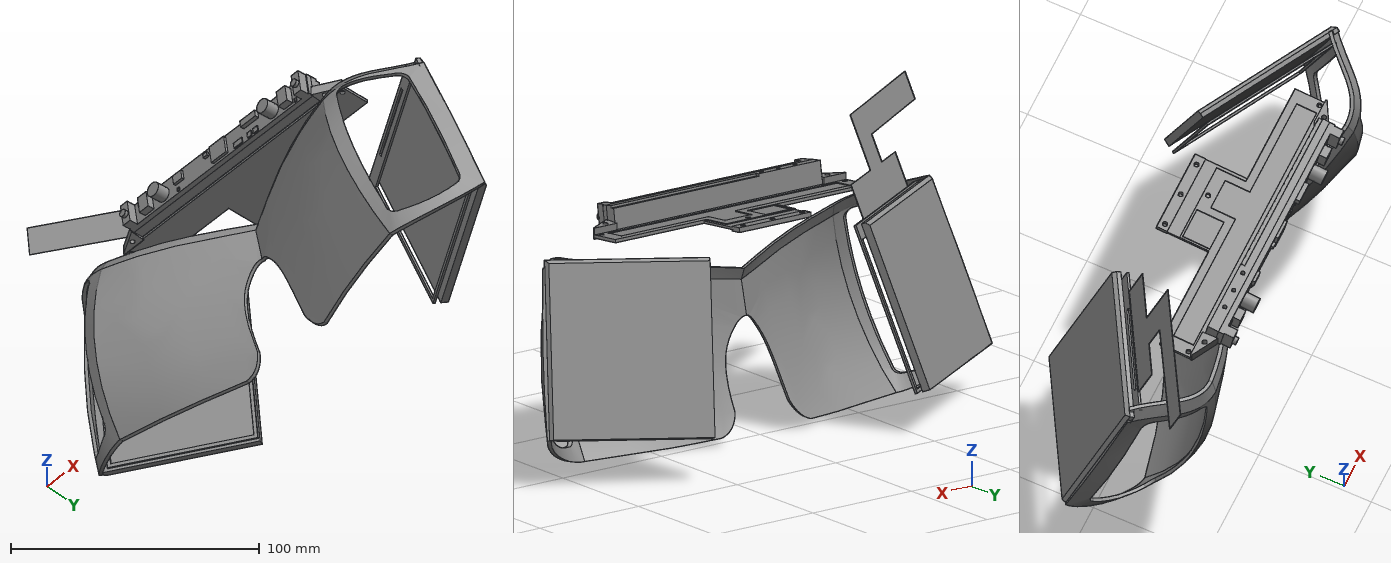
import cadquery as cq
import math

Vector = cq.Vector

WALL = 1.6
BROW_DROP = 4.3
BROW_STEP = 3.3

LENS_STATIONS = [
    ((0.0, -12.0, 5.5), (0.0, 6.2, -57.0), -90.0, 2.0),
    ((-17.0, -21.2, 7.2), (-20.0, 3.4, -58.0), -90.0, 4.0),
    ((-35.0, -28.8, 9.8), (-38.0, -3.6, -60.3), -90.0, 5.5),
    ((-51.0, -33.6, 12.2), (-59.0, -10.0, -61.4), -90.0, 7.0),
    ((-64.0, -36.0, 14.6), (-79.0, -14.5, -61.8), -90.0, 8.5),
]
SIDE_STATIONS = [
    LENS_STATIONS[-1],
    ((-72.0, -34.9, 17.0), (-86.0, -12.5, -60.5), -115.0, 7.5),
    ((-84.0, -25.5, 21.8), (-102.5, -3.0, -52.5), -140.0, 4.5),
    ((-95.3, -14.0, 26.2), (-112.67, 6.3, -42.4), -150.0, 0.8),
]

ARCH_TOP = -13.9
ARCH_FLANK = [(-6.0, -19.0), (-11.3, -30.0), (-13.8, -49.5)]
ARCH_FOOT_MIDDLE = (-17.2, -55.0)
ARCH_FOOT = (-23.5, -58.6)
BELOW_VISOR = -75.0
CUT_REACH = 100.0

TEMPLE_ANGLE = 120.0
WINDOW_TOP_BACK = (30.0, 17.0)
WINDOW_TOP_FRONT = (3.5, 11.0)
WINDOW_FRONT_BOW = (10.0, -25.0)
WINDOW_BOTTOM_FRONT = (26.0, -55.5)
WINDOW_BOTTOM_BOW = (39.8, -51.8)
WINDOW_BOTTOM_BACK = (52.5, -42.0)
WINDOW_CORNER = 4.5
WINDOW_CUT_START = 65.0

DISPLAY_CORNER = Vector(-98.3, -14.0, 26.2)
DISPLAY_ACROSS = Vector(0.867, 0.498, -0.022)
DISPLAY_BACK = Vector(-0.458, 0.8135, 0.358)
DISPLAY_PLANE = cq.Plane(origin=DISPLAY_CORNER, xDir=DISPLAY_ACROSS, normal=DISPLAY_BACK)
DISPLAY_WIDTH = 67.0
DISPLAY_HEIGHT = 72.8
BACK_THICKNESS = 3.4
BACK_CHAMFER = 1.5
FRAME_GAP = 2.5
FRONT_THICKNESS = 1.0
FRAME_FRONT = -(BACK_THICKNESS + FRAME_GAP + FRONT_THICKNESS)
FRONT_SETBACK = 3.8
TOP_LIP = 6.5
SIDE_LIP = 1.5
BOTTOM_LIP = 1.5
SLOT_LENGTH = 37.0
SLOT_HEIGHT = 1.6
SLOT_START = 14.5
SLOT_DROP = 2.6

RIBBON_THICKNESS = 0.3
RIBBON_LEFT = 12.0
RIBBON_RIGHT = 58.4
RIBBON_SHOULDER = 15.0
NECK_LEFT = 26.0
NECK_RIGHT = 38.0
HOOK_UNDERSIDE = 27.0
HOOK_TOP = 39.0
HOOK_RISE = 1.0
HOOK_TIP = -20.2

BRACKET_TILT = 5.5
BRACKET_FRONT = (0.0, -26.8, 27.4)
BRACKET_THICKNESS = 1.4
BAR_HALF_WIDTH = 63.8
BAR_DEPTH = 14.4
STEM_LEFT = -17.5
STEM_RIGHT = 18.9
BRACKET_DEPTH = 37.8
RAIL_DEPTH = 4.8
RAIL_THICKNESS = 2.0
STEP_DEPTH = 5.6
FLANGE_WIDTH = 1.5
RECESS_DEPTH = 0.4
RECESS_HALF_WIDTH = 58.1
RECESS_FRONT = 2.0
RECESS_BACK = 10.9
RECESS_STEM = (0.3, 13.9)
RECESS_STEM_BACK = 21.9
PAD_POCKET = (-16.5, -3.1)
PAD_POCKET_BACK = 26.5
HOLE_DIAMETER = 2.0
RAIL_HOLE_PITCH = 14.9
RAIL_HOLE_SETBACK = 2.6
STEM_HOLE = (4.7, 25.2)
BAR_HOLE = (61.7, 2.5)
GUSSET_TOP = 30.3
GUSSET_BOTTOM = 25.6
GUSSET_FRONT = -33.0
GUSSET_BACK = -26.2
GUSSET_HOLE = (56.3, -28.9)

CAMERA_TILT = 9.0
CAMERA_REAR_TOP = (0.0, -28.5, 37.0)
CAMERA_HALF_WIDTH = 52.5
CAMERA_HEIGHT = 10.2
STIFFENER_DEPTH = 4.8
BOARD_DEPTH = 2.4
NOTCH_START = -21.2
NOTCH_DEPTH = 1.7
NOTCH_DROP = 1.0
TAPPED_HOLE = 1.62
TAPPED_HOLES_X = (-41.4, -33.0, -24.4)
TAPPED_HOLE_DEPTH = 3.0
LENS_DIAMETER = 6.44
LENS_X = 32.0
LENS_DROP = 5.7
LENS_REACH = 6.0
POST_PAD_X = 50.0
POST_PAD_WIDTH = 4.0
POST_PAD_REACH = 4.2
POST_DIAMETER = 3.23
POST_REACH = 5.8
CHIPS = [
    (-43.2, -38.1, 1.3, 8.9, 3.3),
    (38.1, 43.2, 1.3, 8.9, 3.3),
    (-24.9, -20.0, 1.3, 5.6, 1.2),
    (-3.3, 5.2, 0.8, 9.0, 1.2),
    (15.4, 24.1, 0.4, 3.5, 1.9),
    (9.1, 13.9, 7.1, 9.6, 0.5),
    (17.0, 19.3, 7.1, 9.6, 0.5),
    (20.4, 23.0, 7.1, 9.6, 0.5),
    (-7.3, -5.0, 2.0, 3.8, 1.2),
    (-45.8, -44.6, 1.0, 2.4, 0.5),
    (25.2, 26.4, 1.0, 2.4, 0.5),
    (-24.1, -22.9, 8.0, 9.4, 0.5),
    (44.4, 45.6, 8.0, 9.4, 0.5),
]


def mirrored(body):
    """Copy of a body on the other side of the YZ plane."""
    return body.mirror("YZ")


def station_wire(top, bottom, compass, bulge):
    """Closed wall profile: sloping brow band, then one arc down to the bottom edge."""
    top = Vector(*top)
    bottom = Vector(*bottom)
    heading = Vector(math.cos(math.radians(compass)), math.sin(math.radians(compass)), 0)
    up = (top - bottom).normalized()
    out = (heading - up * heading.dot(up)).normalized()
    crown = top - up * BROW_DROP + out * BROW_STEP
    belly = (crown + bottom) * 0.5 + out * bulge
    inward = heading * -WALL
    edges = [
        cq.Edge.makeLine(top, crown),
        cq.Edge.makeThreePointArc(crown, belly, bottom),
        cq.Edge.makeLine(bottom, bottom + inward),
        cq.Edge.makeThreePointArc(bottom + inward, belly + inward, crown + inward),
        cq.Edge.makeLine(crown + inward, top + inward),
        cq.Edge.makeLine(top + inward, top),
    ]
    return cq.Wire.assembleEdges(edges)


def shell_through(stations):
    wires = [station_wire(*station) for station in stations]
    return cq.Workplane(obj=cq.Solid.makeLoft(wires))


def nose_arch():
    mirrored_flank = [(-x, z) for x, z in ARCH_FLANK]
    outline = (
        cq.Workplane("XZ", origin=(0, CUT_REACH / 2, 0))
        .moveTo(*ARCH_FOOT)
        .threePointArc(ARCH_FOOT_MIDDLE, ARCH_FLANK[-1])
        .spline(ARCH_FLANK[-2::-1] + [(0, ARCH_TOP)] + mirrored_flank, includeCurrent=True)
        .threePointArc((-ARCH_FOOT_MIDDLE[0], ARCH_FOOT_MIDDLE[1]), (-ARCH_FOOT[0], ARCH_FOOT[1]))
        .lineTo(-ARCH_FOOT[0], BELOW_VISOR)
        .lineTo(ARCH_FOOT[0], BELOW_VISOR)
        .close()
    )
    return outline.extrude(CUT_REACH)


def side_window():
    angle = math.radians(TEMPLE_ANGLE)
    back = Vector(math.cos(angle), math.sin(angle), 0)
    outward = back.cross(Vector(0, 0, 1)) * -1
    plane = cq.Plane(origin=outward * WINDOW_CUT_START, xDir=back * -1, normal=outward)

    def at(point):
        return (-point[0], point[1])

    return (
        cq.Workplane(plane)
        .moveTo(*at(WINDOW_TOP_BACK))
        .lineTo(*at(WINDOW_TOP_FRONT))
        .threePointArc(at(WINDOW_FRONT_BOW), at(WINDOW_BOTTOM_FRONT))
        .threePointArc(at(WINDOW_BOTTOM_BOW), at(WINDOW_BOTTOM_BACK))
        .close()
        .extrude(CUT_REACH)
        .edges(cq.selectors.ParallelDirSelector(outward))
        .fillet(WINDOW_CORNER)
    )


def display_envelope():
    """Space taken by one display, cleared out of the visor."""
    back = local_box(0, DISPLAY_WIDTH, 0, DISPLAY_HEIGHT, -BACK_THICKNESS, 0)
    front = local_box(FRONT_SETBACK, DISPLAY_WIDTH, 0, DISPLAY_HEIGHT, FRAME_FRONT, 0)
    return back.union(front)


def build_visor():
    side = shell_through(SIDE_STATIONS).cut(side_window()).cut(display_envelope())
    half = shell_through(LENS_STATIONS).union(side)
    return half.union(mirrored(half)).cut(nose_arch())



def local_box(left, right, top_drop, bottom_drop, front, back):
    """Box in the display's own axes: across, down from the top edge, and backward."""
    return (
        cq.Workplane(DISPLAY_PLANE)
        .workplane(offset=front)
        .center((left + right) / 2, (top_drop + bottom_drop) / 2)
        .rect(right - left, bottom_drop - top_drop)
        .extrude(back - front)
    )


def build_display_back():
    """Flat back cover, chamfered along its top and outer edges."""
    plate = local_box(0, DISPLAY_WIDTH, 0, DISPLAY_HEIGHT, -BACK_THICKNESS, 0)
    back_face = plate.faces(cq.selectors.DirectionMinMaxSelector(DISPLAY_PLANE.zDir))
    top_edge = back_face.edges(cq.selectors.DirectionMinMaxSelector(DISPLAY_PLANE.yDir, False))
    outer_edge = back_face.edges(cq.selectors.DirectionMinMaxSelector(DISPLAY_PLANE.xDir, False))
    return top_edge.add(outer_edge).chamfer(BACK_CHAMFER)


def build_display_frame():
    """Thin open frame standing clear of the back cover, with a cable slot in its top lip."""
    flange_back = FRAME_FRONT + FRONT_THICKNESS
    flange = local_box(FRONT_SETBACK, DISPLAY_WIDTH, 0, DISPLAY_HEIGHT, FRAME_FRONT, flange_back)
    opening = local_box(
        FRONT_SETBACK + SIDE_LIP, DISPLAY_WIDTH - SIDE_LIP,
        TOP_LIP, DISPLAY_HEIGHT - BOTTOM_LIP, FRAME_FRONT, flange_back,
    )
    slot = local_box(
        SLOT_START, SLOT_START + SLOT_LENGTH,
        SLOT_DROP - SLOT_HEIGHT / 2, SLOT_DROP + SLOT_HEIGHT / 2, FRAME_FRONT, flange_back,
    )
    return flange.cut(opening).cut(slot)


def build_ribbon():
    """Thin hooked cable standing on the top edge of the left display frame."""
    return (
        cq.Workplane(DISPLAY_PLANE)
        .workplane(offset=FRAME_FRONT + FRONT_THICKNESS / 2)
        .polyline([
            (RIBBON_LEFT, 0),
            (RIBBON_LEFT, -RIBBON_SHOULDER),
            (NECK_LEFT, -RIBBON_SHOULDER),
            (NECK_LEFT, -HOOK_UNDERSIDE),
            (HOOK_TIP, -HOOK_UNDERSIDE - HOOK_RISE),
            (HOOK_TIP, -HOOK_TOP - HOOK_RISE),
            (NECK_RIGHT, -HOOK_TOP),
            (NECK_RIGHT, -RIBBON_SHOULDER),
            (RIBBON_RIGHT, -RIBBON_SHOULDER),
            (RIBBON_RIGHT, 0),
        ])
        .close()
        .extrude(RIBBON_THICKNESS)
    )


def bracket_plane():
    tilt = math.radians(BRACKET_TILT)
    normal = (0, -math.sin(tilt), math.cos(tilt))
    return cq.Plane(origin=BRACKET_FRONT, xDir=(1, 0, 0), normal=normal)


def slab(left, right, front, back, thickness):
    """Block hanging below the bracket's top surface."""
    return (
        cq.Workplane(bracket_plane())
        .center((left + right) / 2, (front + back) / 2)
        .rect(right - left, back - front)
        .extrude(-thickness)
    )


def gusset():
    return (
        cq.Workplane("XY", origin=(0, 0, GUSSET_BOTTOM))
        .polyline([
            (-BAR_HALF_WIDTH, BRACKET_FRONT[1]),
            (-BAR_HALF_WIDTH, GUSSET_BACK),
            (-CAMERA_HALF_WIDTH, GUSSET_BACK),
            (-CAMERA_HALF_WIDTH, GUSSET_FRONT),
        ])
        .close()
        .extrude(GUSSET_TOP - GUSSET_BOTTOM)
        .cut(
            cq.Workplane("XY", origin=(0, 0, GUSSET_BOTTOM))
            .center(-GUSSET_HOLE[0], GUSSET_HOLE[1])
            .circle(HOLE_DIAMETER / 2)
            .extrude(GUSSET_TOP - GUSSET_BOTTOM)
        )
    )


def build_bracket():
    rail_front = BRACKET_DEPTH - RAIL_DEPTH
    bar = slab(-BAR_HALF_WIDTH, BAR_HALF_WIDTH, 0, BAR_DEPTH, BRACKET_THICKNESS)
    stem = slab(STEM_LEFT, STEM_RIGHT, 0, BRACKET_DEPTH, BRACKET_THICKNESS)
    rail = slab(STEM_LEFT, STEM_RIGHT, rail_front, BRACKET_DEPTH, RAIL_THICKNESS)
    body = bar.union(stem).union(rail)

    flange_step = slab(STEM_RIGHT - FLANGE_WIDTH, STEM_RIGHT, BAR_DEPTH, rail_front, RECESS_DEPTH)
    rear_step = slab(
        STEM_LEFT, STEM_RIGHT - FLANGE_WIDTH, rail_front - STEP_DEPTH, rail_front, RECESS_DEPTH
    )
    bar_recess = slab(-RECESS_HALF_WIDTH, RECESS_HALF_WIDTH, RECESS_FRONT, RECESS_BACK, RECESS_DEPTH)
    stem_recess = slab(*RECESS_STEM, RECESS_FRONT, RECESS_STEM_BACK, RECESS_DEPTH)
    pad_pocket = slab(*PAD_POCKET, BAR_DEPTH, PAD_POCKET_BACK, RECESS_DEPTH)
    for pocket in (flange_step, rear_step, bar_recess, stem_recess, pad_pocket):
        body = body.cut(pocket)

    rail_hole_y = BRACKET_DEPTH - RAIL_HOLE_SETBACK
    hole_places = [(step * RAIL_HOLE_PITCH, rail_hole_y) for step in (-1, 0, 1)]
    hole_places += [STEM_HOLE, BAR_HOLE, (-BAR_HOLE[0], BAR_HOLE[1])]
    holes = (
        cq.Workplane(bracket_plane())
        .pushPoints(hole_places)
        .circle(HOLE_DIAMETER / 2)
        .extrude(-RAIL_THICKNESS)
    )
    return body.cut(holes).union(gusset()).union(mirrored(gusset()))


def camera_plane():
    """Plane of the bar's rear face: X across, Y up the bar, normal pointing ahead."""
    tilt = math.radians(CAMERA_TILT)
    ahead = (0, -math.cos(tilt), -math.sin(tilt))
    return cq.Plane(origin=CAMERA_REAR_TOP, xDir=(1, 0, 0), normal=ahead)


def camera_box(left, right, top_drop, bottom_drop, rear, front):
    return (
        cq.Workplane(camera_plane())
        .workplane(offset=rear)
        .center((left + right) / 2, -(top_drop + bottom_drop) / 2)
        .rect(right - left, bottom_drop - top_drop)
        .extrude(front - rear)
    )


def camera_pins(half_spacing, diameter, reach):
    """Two round pins reaching ahead of the board's front face."""
    return (
        cq.Workplane(camera_plane())
        .workplane(offset=STIFFENER_DEPTH + BOARD_DEPTH)
        .pushPoints([(-half_spacing, -LENS_DROP), (half_spacing, -LENS_DROP)])
        .circle(diameter / 2)
        .extrude(reach)
    )


def build_stiffener():
    bar = camera_box(-CAMERA_HALF_WIDTH, CAMERA_HALF_WIDTH, 0, CAMERA_HEIGHT, 0, STIFFENER_DEPTH)
    notch = camera_box(NOTCH_START, CAMERA_HALF_WIDTH, 0, NOTCH_DROP, 0, NOTCH_DEPTH)
    bar = bar.cut(notch)
    for x in TAPPED_HOLES_X:
        start = camera_plane().toWorldCoords((x, 0, STIFFENER_DEPTH / 2))
        down = camera_plane().yDir * -1
        hole = cq.Solid.makeCylinder(TAPPED_HOLE / 2, TAPPED_HOLE_DEPTH, start, down)
        bar = bar.cut(cq.Workplane(obj=hole))
    return bar


def build_camera_board():
    front = STIFFENER_DEPTH + BOARD_DEPTH
    board = camera_box(
        -CAMERA_HALF_WIDTH, CAMERA_HALF_WIDTH, 0, CAMERA_HEIGHT, STIFFENER_DEPTH, front
    )
    for left, right, top_drop, bottom_drop, reach in CHIPS:
        board = board.union(camera_box(left, right, top_drop, bottom_drop, front, front + reach))
    for side in (-1, 1):
        middle = side * POST_PAD_X
        board = board.union(camera_box(
            middle - POST_PAD_WIDTH / 2, middle + POST_PAD_WIDTH / 2,
            0, CAMERA_HEIGHT, front, front + POST_PAD_REACH,
        ))
    board = board.union(camera_pins(LENS_X, LENS_DIAMETER, LENS_REACH))
    return board.union(camera_pins(POST_PAD_X, POST_DIAMETER, POST_REACH))


visor = build_visor()
display_back = build_display_back()
display_frame = build_display_frame()
ribbon = build_ribbon()
bracket = build_bracket()
stiffener = build_stiffener()
camera_board = build_camera_board()

result = cq.Compound.makeCompound([
    visor.solids().val(),
    display_back.val(),
    mirrored(display_back).val(),
    display_frame.val(),
    mirrored(display_frame).val(),
    ribbon.val(),
    bracket.val(),
    stiffener.val(),
    camera_board.val(),
])